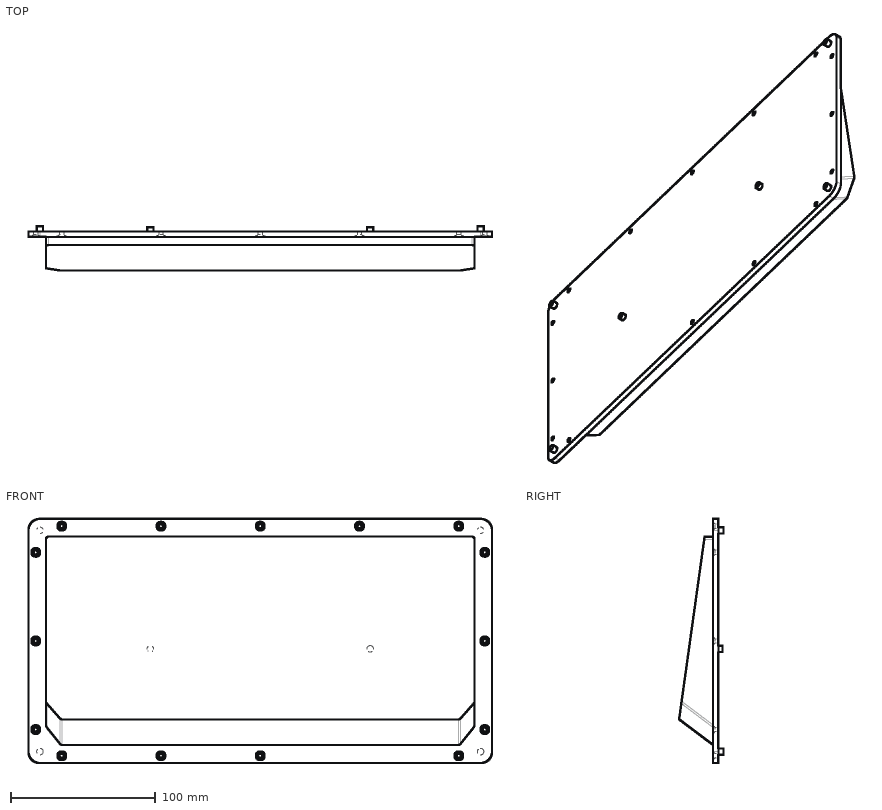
import cadquery as cq

plate_length = 321.2
plate_height = 169.3
plate_thickness = 4.0
plate_corner_radius = 8.0

hood_length = 296.8
hood_top_z = 72.3
hood_bottom_z = -72.0
hood_top_depth = 5.8
hood_lip_depth = 23.5
hood_lip_z = -54.3
hood_chamfer = 10.3
hood_edge_radius = 2.0

hole_diameter = 3.0
countersink_diameter = 6.0
countersink_angle = 90
hole_edge_inset = 5.0
row_hole_pitch = 68.7
column_hole_pitch = 61.5
row_steps = (-2, -1, 0, 1, 2)
column_steps = (-1, 0, 1)
undrilled_step = 1

pin_diameter = 4.5
corner_pin_height = 3.5
middle_pin_height = 3.0
middle_pin_x = 76.0
middle_pin_z = -5.5


def make_plate():
    plate = cq.Workplane("XY").box(
        plate_length, plate_thickness, plate_height, centered=(True, False, True)
    )
    return plate.edges("|Y").fillet(plate_corner_radius)


def make_hood():
    side_profile = [
        (0, hood_top_z),
        (-hood_top_depth, hood_top_z),
        (-hood_lip_depth, hood_lip_z),
        (0, hood_bottom_z),
    ]
    hood = cq.Workplane("YZ").polyline(side_profile).close().extrude(hood_length / 2, both=True)

    slope = cq.Vector(0, -hood_lip_depth, hood_lip_z - hood_bottom_z)
    along_slope = cq.selectors.ParallelDirSelector(slope)
    hood = hood.edges(along_slope).chamfer(hood_chamfer)
    hood = hood.edges(along_slope).fillet(hood_edge_radius)
    return hood.faces(">Z").edges("|Y").fillet(hood_edge_radius)


def hole_points():
    row_z = plate_height / 2 - hole_edge_inset
    column_x = plate_length / 2 - hole_edge_inset
    top_row = [(step * row_hole_pitch, row_z) for step in row_steps]
    bottom_row = [(step * row_hole_pitch, -row_z) for step in row_steps if step != undrilled_step]
    columns = [(side * column_x, step * column_hole_pitch) for side in (-1, 1) for step in column_steps]
    return top_row + bottom_row + columns


def drill_holes(body):
    front = cq.Workplane("XZ").add(body).pushPoints(hole_points())
    return front.cskHole(hole_diameter, countersink_diameter, countersink_angle, depth=plate_thickness)


def make_pins(points, height):
    back = cq.Workplane("XZ", origin=(0, plate_thickness, 0))
    return back.pushPoints(points).circle(pin_diameter / 2).extrude(-height)


corner_pin_x = plate_length / 2 - plate_corner_radius
corner_pin_z = plate_height / 2 - plate_corner_radius
corner_pins = [(i * corner_pin_x, k * corner_pin_z) for i in (-1, 1) for k in (-1, 1)]
middle_pins = [(i * middle_pin_x, middle_pin_z) for i in (-1, 1)]

result = drill_holes(make_plate().union(make_hood()))
result = result.union(make_pins(corner_pins, corner_pin_height))
result = result.union(make_pins(middle_pins, middle_pin_height))